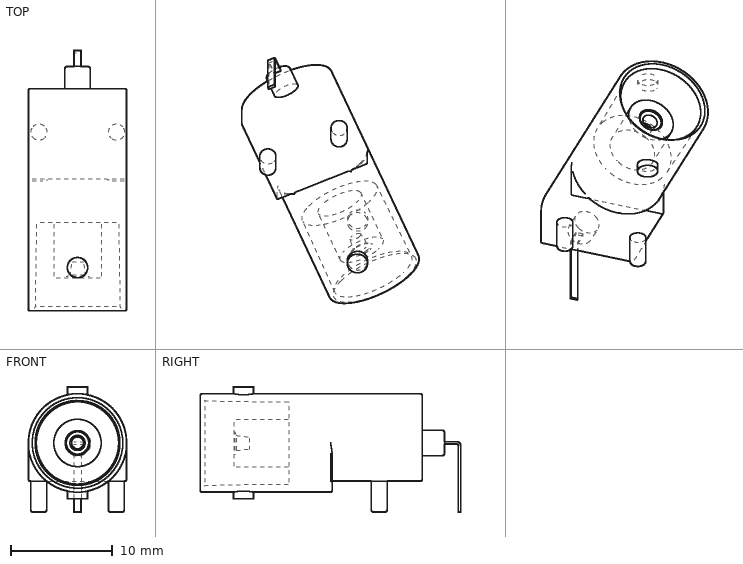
import cadquery as cq
import math


housing_radius = 4.83
housing_length = 21.8
block_front = 12.95
foot_depth = 3.75
mouth_fillet = 0.15
barrel_end_fillet = 0.18
block_fillet = 0.2

mouth_radius = 4.45
lead_in_depth = 0.43
lead_in_radius = 4.16
cavity_depth = 8.69
cavity_end_radius = 4.04

nose_radius = 2.33
nose_depth = 3.27
socket_radius = 1.2
socket_lip_radius = 1.1
socket_lip_depth = 0.1
funnel_depth = 0.25
funnel_radius = 0.75
socket_depth = 1.53
socket_end_radius = 0.6

stud_diameter = 2.0
stud_reach = 5.5
stud_position = 4.25

collar_diameter = 2.53
collar_end = 23.97
collar_fillet = 0.25
lead_end = 25.55
lead_width = 0.72
lead_thickness = 0.25
lead_inner_bend = 0.13
board_depth = 6.8

pin_diameter = 1.58
pin_offset = 3.8
pin_position = 17.55
pin_fillet = 0.25


def rod(radius, start, end):
    """Cylinder on the Y axis from Y = start to Y = end."""
    return cq.Workplane("XZ", origin=(0, start, 0)).circle(radius).extrude(start - end)


def turned(points):
    """Solid turned about the Y axis from (radius, Y) points."""
    return cq.Workplane("XY").polyline(points).close().revolve(360, (0, 0, 0), (0, 1, 0))


def lower_space(start, end, depth):
    """Box under the barrel axis, as wide as the housing, from Y = start to Y = end."""
    return (
        cq.Workplane("XY", origin=(-housing_radius, start, -depth))
        .box(2 * housing_radius, end - start, depth, centered=False)
    )


def make_body():
    """Half-round top over the whole length, a box foot behind and the lower half of the barrel in front."""
    barrel = rod(housing_radius, 0, block_front)
    barrel = barrel.faces(">Y").edges().fillet(barrel_end_fillet)
    barrel = barrel.faces("<Y").edges().fillet(mouth_fillet)
    lower_barrel = barrel.intersect(lower_space(0, block_front, housing_radius))

    block = (
        cq.Workplane("XZ")
        .moveTo(-housing_radius, -foot_depth)
        .lineTo(-housing_radius, 0)
        .threePointArc((0, housing_radius), (housing_radius, 0))
        .lineTo(housing_radius, -foot_depth)
        .close()
        .extrude(-housing_length)
    )
    block = block.edges("(|Y and <Z) or >Y").fillet(block_fillet)
    block = block.faces("<Y").edges(">Z").fillet(mouth_fillet)
    block = block.cut(lower_space(0, block_front, housing_radius))
    return block.union(lower_barrel).union(make_corner_fillet())


def make_corner_fillet():
    """Hollow fillet between the lower barrel and the front face of the block, kept inside the block's sides."""
    start = block_front - barrel_end_fillet
    root = housing_radius - barrel_end_fillet
    arc_offset = barrel_end_fillet * (1 - math.sqrt(0.5))
    ring = (
        cq.Workplane("XY")
        .moveTo(root, start)
        .lineTo(housing_radius, start)
        .threePointArc(
            (housing_radius + arc_offset, block_front - arc_offset),
            (housing_radius + barrel_end_fillet, block_front),
        )
        .lineTo(root, block_front)
        .close()
        .revolve(360, (0, 0, 0), (0, 1, 0))
    )
    return ring.intersect(lower_space(start, block_front, foot_depth))


def make_cavity():
    return turned([
        (0, 0),
        (mouth_radius, 0),
        (lead_in_radius, lead_in_depth),
        (cavity_end_radius, cavity_depth),
        (0, cavity_depth),
    ])


def make_socket():
    return turned([
        (0, nose_depth),
        (socket_radius, nose_depth),
        (socket_lip_radius, nose_depth + socket_lip_depth),
        (funnel_radius, nose_depth + funnel_depth),
        (socket_end_radius, nose_depth + socket_depth),
        (0, nose_depth + socket_depth),
    ])


def make_stud(direction):
    """Bayonet stud pointing up (direction = 1) or down (direction = -1), rooted in the barrel wall."""
    root = (lead_in_radius + housing_radius) / 2
    return (
        cq.Workplane("XY", origin=(0, stud_position, direction * root))
        .circle(stud_diameter / 2)
        .extrude(direction * (stud_reach - root))
    )


def make_collar():
    collar = rod(collar_diameter / 2, housing_length, collar_end)
    return collar.faces(">Y").edges().fillet(collar_fillet)


def make_lead():
    top = lead_thickness / 2
    lead = (
        cq.Workplane("YZ", origin=(-lead_width / 2, 0, 0))
        .moveTo(collar_end, top)
        .lineTo(lead_end, top)
        .lineTo(lead_end, -board_depth)
        .lineTo(lead_end - lead_thickness, -board_depth)
        .lineTo(lead_end - lead_thickness, -top)
        .lineTo(collar_end, -top)
        .close()
        .extrude(lead_width)
    )
    inner_corner = cq.NearestToPointSelector((0, lead_end - lead_thickness, -top))
    outer_corner = cq.NearestToPointSelector((0, lead_end, top))
    lead = lead.edges("|X").edges(inner_corner).fillet(lead_inner_bend)
    return lead.edges("|X").edges(outer_corner).fillet(lead_inner_bend + lead_thickness)


def make_pin(side):
    pin = (
        cq.Workplane("XY", origin=(side * pin_offset, pin_position, -foot_depth))
        .circle(pin_diameter / 2)
        .extrude(foot_depth - board_depth)
    )
    return pin.faces("<Z").edges().fillet(pin_fillet)


result = make_body().cut(make_cavity())
result = result.union(rod(nose_radius, nose_depth, cavity_depth)).cut(make_socket())
result = result.union(make_collar()).union(make_lead())
for side in (-1, 1):
    result = result.union(make_stud(side)).union(make_pin(side))